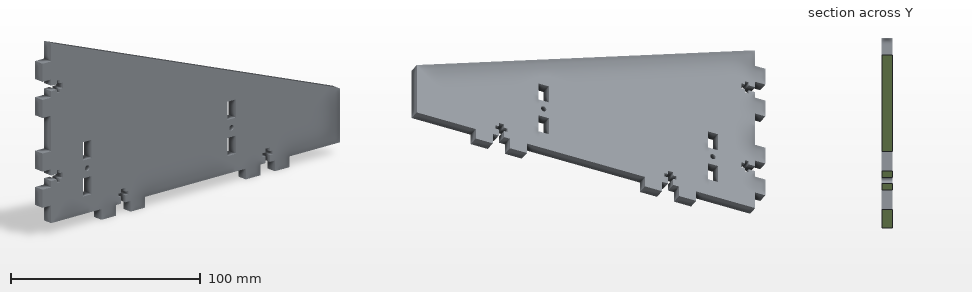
import cadquery as cq

overall_length = 206.0
overall_height = 106.0
thickness = 6.0
low_end_height = 30.0

tab_depth = thickness
plate_length = overall_length - tab_depth
plate_height = overall_height - tab_depth

tab_width = 10.0
tab_offset = tab_width
screw_diameter = 3.0
screw_slot_depth = 8.0
nut_width = 7.0
nut_thickness = 2.0
nut_depth = 4.0

bottom_joints = [plate_length / 4, plate_length * 3 / 4]
tall_edge_joints = [plate_height / 4, plate_height * 3 / 4]
mortise_z = plate_height / 4
mortise_joints = [plate_length / 8, plate_length * 5 / 8]


def block(y_start, y_end, z_start, z_end):
    """Rectangular block through the full plate thickness."""
    return cq.Workplane("XY").box(
        thickness, y_end - y_start, z_end - z_start, centered=False
    ).translate((0, y_start, z_start))


def bottom_block(joint_y, offset, width, depth_start, depth_end):
    """Block on a bottom-edge joint; depth is measured up into the plate."""
    centre = joint_y + offset
    return block(centre - width / 2, centre + width / 2, depth_start, depth_end)


def tall_edge_block(joint_z, offset, width, depth_start, depth_end):
    """Block on a tall-edge joint; depth is measured along Y into the plate."""
    centre = joint_z + offset
    return block(depth_start, depth_end, centre - width / 2, centre + width / 2)


def add_edge_joint(plate, edge_block, position):
    """Add two tabs and cut a cross-shaped screw and nut slot between them."""
    for offset in (-tab_offset, tab_offset):
        plate = plate.union(edge_block(position, offset, tab_width, -tab_depth, 0))
    screw_slot = edge_block(position, 0, screw_diameter, 0, screw_slot_depth)
    nut_pocket = edge_block(position, 0, nut_width, nut_depth, nut_depth + nut_thickness)
    return plate.cut(screw_slot).cut(nut_pocket)


def cut_mortise_joint(plate, joint_y):
    """Cut two mortises, one above the other, and a screw hole between them."""
    for offset in (-tab_offset, tab_offset):
        centre_z = mortise_z + offset
        mortise = block(
            joint_y - thickness / 2,
            joint_y + thickness / 2,
            centre_z - tab_width / 2,
            centre_z + tab_width / 2,
        )
        plate = plate.cut(mortise)
    screw_hole = (
        cq.Workplane("YZ")
        .center(joint_y, mortise_z)
        .circle(screw_diameter / 2)
        .extrude(thickness)
    )
    return plate.cut(screw_hole)


result = (
    cq.Workplane("YZ")
    .polyline([
        (0, 0),
        (plate_length, 0),
        (plate_length, low_end_height),
        (0, plate_height),
    ])
    .close()
    .extrude(thickness)
)

for joint_y in bottom_joints:
    result = add_edge_joint(result, bottom_block, joint_y)

for joint_z in tall_edge_joints:
    result = add_edge_joint(result, tall_edge_block, joint_z)

for joint_y in mortise_joints:
    result = cut_mortise_joint(result, joint_y)